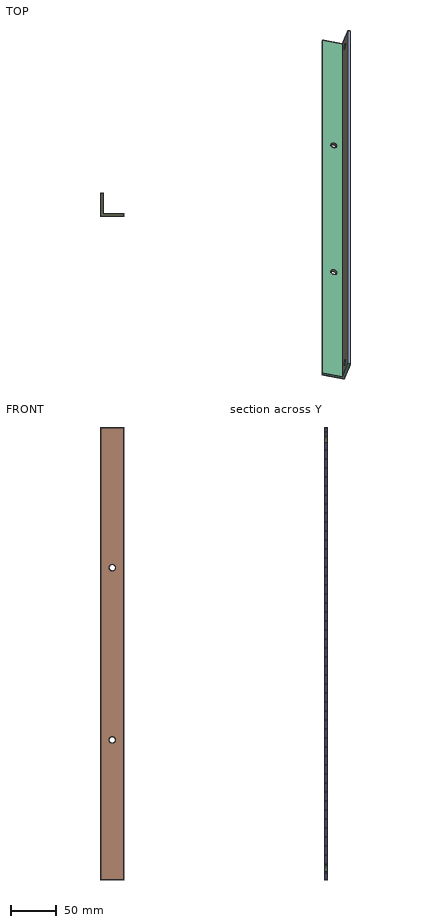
import cadquery as cq

leg_width = 25.4
thickness = 3.175
length = 492.125

hole_diameter = 6.76
front_hole_end_distance = 152.4
side_hole_end_distance = 12.7


def make_angle():
    """L-shaped bar: front leg along X, side leg along Y."""
    front_leg = cq.Workplane("XY").box(leg_width, thickness, length, centered=False)
    side_leg = cq.Workplane("XY").box(thickness, leg_width, length, centered=False)
    return front_leg.union(side_leg)


def make_hole_pair(plane, direction, end_distance):
    """Two cutters through one leg, each the same distance from its end of the bar."""
    centers = [(leg_width / 2, z) for z in (end_distance, length - end_distance)]
    circles = cq.Workplane(plane).pushPoints(centers).circle(hole_diameter / 2)
    return circles.extrude(direction * thickness)


front_holes = make_hole_pair("XZ", -1, front_hole_end_distance)
side_holes = make_hole_pair("YZ", 1, side_hole_end_distance)

result = make_angle().cut(front_holes).cut(side_holes)